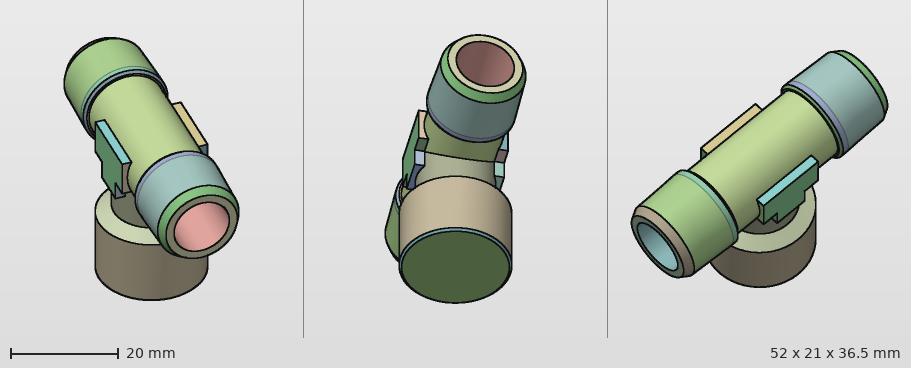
import cadquery as cq

run_length = 52.0
run_diameter = 15.0
bore_diameter = 11.0

collar_diameter = 16.9
barb_tip_diameter = 16.2
mouth_diameter = 14.25
mouth_chamfer_length = 1.75
barb_length = 13.1
collar_length = 1.25
collar_chamfer_length = 0.5
collar_chamfer_diameter = 15.8

neck_diameter = 15.0
socket_diameter = 21.0
overall_height = 36.45
branch_depth = overall_height - collar_diameter / 2
socket_length = 13.3
shoulder_height = 1.7
rim_chamfer = 0.45

pad_span = 17.05
pad_width = 13.95
pad_half_height = 3.45
pad_stem_width = 7.0
pad_stem_depth = 7.0


def make_run():
    """Plain tube body with a tapered, collared barb on both ends."""
    end = run_length / 2
    collar_inner = end - barb_length + collar_chamfer_length
    half_profile = [
        (end - barb_length, run_diameter / 2),
        (end - barb_length, collar_chamfer_diameter / 2),
        (collar_inner, collar_diameter / 2),
        (collar_inner + collar_length, collar_diameter / 2),
        (end - mouth_chamfer_length, barb_tip_diameter / 2),
        (end, mouth_diameter / 2),
        (end, 0),
    ]
    mirrored = [(-x, r) for x, r in reversed(half_profile)]
    profile = cq.Workplane("XY").polyline(mirrored + half_profile).close()
    return profile.revolve(360, (0, 0, 0), (1, 0, 0))


def make_branch():
    """Neck that widens through a conical shoulder into the socket."""
    bottom = -branch_depth
    socket_top = bottom + socket_length
    profile = [
        (0, 0),
        (neck_diameter / 2, 0),
        (neck_diameter / 2, socket_top + shoulder_height),
        (socket_diameter / 2, socket_top),
        (socket_diameter / 2, bottom + rim_chamfer),
        (socket_diameter / 2 - rim_chamfer, bottom),
        (0, bottom),
    ]
    return cq.Workplane("XZ").polyline(profile).close().revolve(360, (0, 0, 0), (0, 1, 0))


def make_pads():
    """T-shaped slab through the joint; its two faces form the pads."""
    bar = cq.Workplane("XY").box(pad_width, pad_span, 2 * pad_half_height)
    stem = cq.Workplane("XY").box(
        pad_stem_width, pad_span, pad_stem_depth, centered=(True, True, False)
    )
    return bar.union(stem.translate((0, 0, -pad_stem_depth)))


bore = cq.Workplane("YZ").circle(bore_diameter / 2).extrude(run_length / 2, both=True)
result = make_run().union(make_branch()).union(make_pads()).cut(bore)